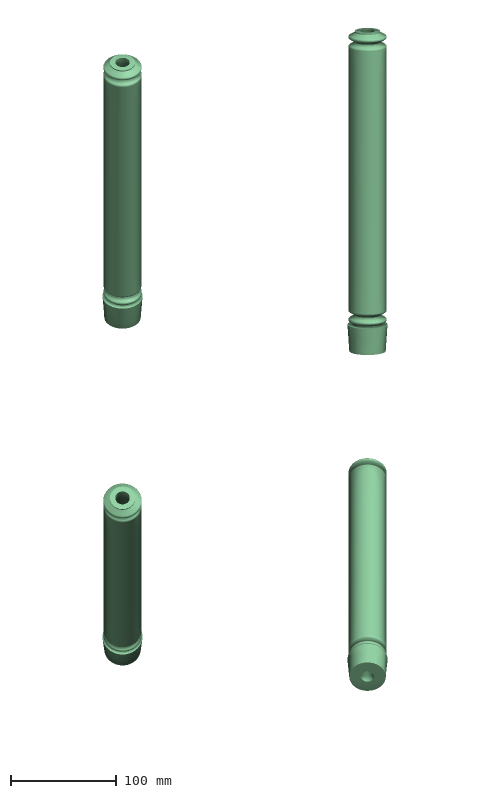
import cadquery as cq
import math

total_height = 311.0
body_radius = 36.5 / 2

waist_radius = 24.0 / 2
flare_angle = math.radians(30)
shoulder_round = 2.2
disc_round = 2.0

top_rim_height = 1.2
upper_waist_z = 300.5
lower_waist_z = 35.0

plug_height = 25.8
plug_top_radius = 38.0 / 2
plug_bottom_radius = 34.5 / 2
neck_radius = 28.3 / 2

bore_diameter = 13.7
plug_bore_diameter = 12.0


def cone_rise(inner_radius, outer_radius):
    """Height gained along a flare between two radii."""
    return (outer_radius - inner_radius) * math.tan(flare_angle)


def round_end_radius(rounding):
    """Radius at which a flare meets the rounded rim of the body radius."""
    return body_radius - rounding * (1 - math.sin(flare_angle))


disc_flare_radius = round_end_radius(disc_round)
disc_half_round = disc_round * math.cos(flare_angle)
disc_rise = cone_rise(waist_radius, disc_flare_radius)
shoulder_flare_radius = round_end_radius(shoulder_round)
shoulder_rise = cone_rise(waist_radius, shoulder_flare_radius)
shoulder_round_height = shoulder_round * math.cos(flare_angle)


def add_shoulder(profile, arc_start, arc_end, body_edge_z, direction):
    """Round a body shoulder; direction is +1 at the top of the body and -1 at its bottom."""
    middle_turn = (math.pi / 2 - flare_angle) / 2
    middle = (
        body_radius - shoulder_round * (1 - math.cos(middle_turn)),
        body_edge_z + direction * shoulder_round * math.sin(middle_turn),
    )
    return profile.lineTo(*arc_start).threePointArc(middle, arc_end)


def add_disc_rim(profile, waist_z):
    """Add a rounded disc rim, drawn upward; waist_z is where the flare above it reaches the waist."""
    upper_z = waist_z - disc_rise
    lower_z = upper_z - 2 * disc_half_round
    middle = (body_radius, upper_z - disc_half_round)
    return profile.lineTo(disc_flare_radius, lower_z).threePointArc(middle, (disc_flare_radius, upper_z))


lower_disc_rim_z = lower_waist_z - disc_rise - 2 * disc_half_round
neck_top_z = lower_disc_rim_z - cone_rise(neck_radius, disc_flare_radius)

top_rim_z = total_height - top_rim_height

body_bottom_flare_z = lower_waist_z + shoulder_rise
body_bottom_z = body_bottom_flare_z + shoulder_round_height
body_top_flare_z = upper_waist_z - shoulder_rise
body_top_z = body_top_flare_z - shoulder_round_height

profile = (
    cq.Workplane("XZ")
    .lineTo(plug_bottom_radius, 0)
    .lineTo(plug_top_radius, plug_height)
    .lineTo(neck_radius, plug_height)
    .lineTo(neck_radius, neck_top_z)
)
profile = add_disc_rim(profile, lower_waist_z)
profile = profile.lineTo(waist_radius, lower_waist_z)
profile = add_shoulder(
    profile, (shoulder_flare_radius, body_bottom_flare_z), (body_radius, body_bottom_z), body_bottom_z, -1
)
profile = add_shoulder(
    profile, (body_radius, body_top_z), (shoulder_flare_radius, body_top_flare_z), body_top_z, 1
)
profile = profile.lineTo(waist_radius, upper_waist_z)
profile = add_disc_rim(profile, top_rim_z)
profile = (
    profile.lineTo(waist_radius, top_rim_z)
    .lineTo(waist_radius, total_height)
    .lineTo(0, total_height)
    .close()
)
outer_body = profile.revolve(360, (0, 0), (0, 1))

plug_bore = cq.Workplane("XY").circle(plug_bore_diameter / 2).extrude(total_height)
main_bore = (
    cq.Workplane("XY")
    .workplane(offset=plug_height)
    .circle(bore_diameter / 2)
    .extrude(total_height - plug_height)
)

result = outer_body.cut(plug_bore).cut(main_bore)